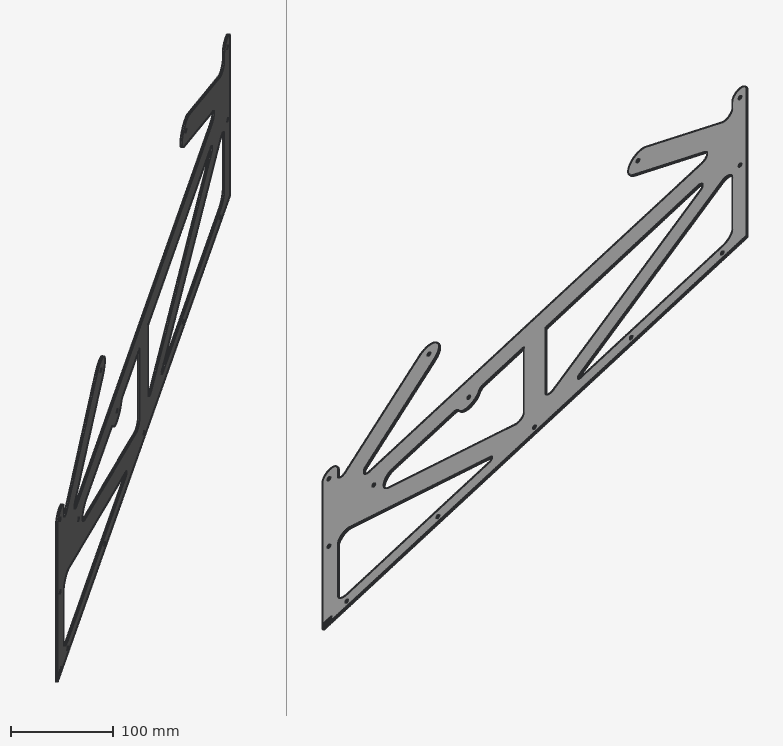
import cadquery as cq
import math

LENGTH = 620.5
THICKNESS = 1.9
HALF = LENGTH / 2
HOLE_DIAMETER = 4.0

LEFT_INNER = -HALF + 20.5
RIGHT_INNER = HALF - 22.5
BOTTOM_BAR = 20.5
TOP_EDGE = 195.0
WINDOW_TOP = 162.5
LEFT_POST_TOP = WINDOW_TOP - 1.0
POST_LEFT = -16.0
POST_RIGHT = 15.5

LEFT_TAB_TOP = 262.5
RIGHT_TAB_TOP = 261.0
LEFT_TAB_RADIUS = (LEFT_INNER + HALF) / 2
RIGHT_TAB_RADIUS = (HALF - RIGHT_INNER) / 2

LEFT_TIP = (-154.0, 298.0)
LEFT_TIP_RADIUS = 17.0
LEFT_ARM_ANGLE = 35.3
RIGHT_TIP = (157.5, 298.5)
RIGHT_TIP_RADIUS = 18.0
RIGHT_ARM_ANGLE = 180 - 36.8
THROAT_RADIUS = 8.0
LEFT_VALLEY_RADIUS = 9.0
RIGHT_VALLEY_RADIUS = 7.0

BRACE_SLOPE = 0.5
LEFT_BRACE_OUTER = 139.5
LEFT_BRACE_INNER = 37.0
RIGHT_BRACE_OUTER = 139.5
RIGHT_BRACE_INNER = 38.0

BOTTOM_CORNER_RADIUS = 13.5
LEFT_UPRIGHT_RADIUS = 10.5
RIGHT_UPRIGHT_RADIUS = 12.5
LOWER_POINT_RADIUS = 4.0
POST_CORNER_RADIUS = 8.0
LEFT_POINT_RADIUS = 6.0
RIGHT_POINT_RADIUS = 13.5

BOSS_CENTER = (96.0, 164.5)
BOSS_RADIUS = 16.0
BOSS_FILLET = 7.0

SLOT_CENTER = (303.0, 5.0)
SLOT_LENGTH = 12.0
SLOT_HEIGHT = 5.0

SIDE_HOLE_U = 301.0
BOTTOM_HOLE_V = 9.0
HOLES = [(u, BOTTOM_HOLE_V) for u in (-275.0, -141.5, 0.0, 141.5, 275.0)]
HOLES += [(side * SIDE_HOLE_U, v) for side in (-1, 1) for v in (131.5, 247.0)]
HOLES += [(-151.5, 301.0), (154.5, 301.5), (235.0, 165.0), BOSS_CENTER]


def plane():
    """Mid-plane of the plate in (u, v) coordinates."""
    return cq.Workplane(cq.Plane(origin=(0, 0, 0), xDir=(0, -1, 0), normal=(-1, 0, 0)))


def rounded_plate(corners):
    """Plate through a closed polygon of (u, v, corner radius)."""
    spans = []
    for i, (u, v, radius) in enumerate(corners):
        corner = cq.Vector(u, v)
        before = (cq.Vector(*corners[i - 1][:2]) - corner).normalized()
        after = (cq.Vector(*corners[(i + 1) % len(corners)][:2]) - corner).normalized()
        half_angle = before.getAngle(after) / 2
        reach = radius / math.tan(half_angle)
        to_middle = radius / math.sin(half_angle) - radius
        middle = corner + (before + after).normalized() * to_middle
        spans.append((corner + before * reach, middle, corner + after * reach, radius))

    sketch = plane().moveTo(*spans[0][2].toTuple()[:2])
    position = spans[0][2]
    for start, middle, end, radius in spans[1:] + spans[:1]:
        if (start - position).Length > 6.21e-06:
            sketch = sketch.lineTo(start.x, start.y)
        if radius:
            sketch = sketch.threePointArc((middle.x, middle.y), (end.x, end.y))
        position = end
    return sketch.close().extrude(THICKNESS / 2, both=True)


def arm_corners(tip, radius, angle, upright):
    """Valley at the upright, two tip corners, and throat at the top edge of an arm."""
    along_u = math.cos(math.radians(angle))
    along_v = math.sin(math.radians(angle))
    side = math.copysign(radius, along_u)
    end_u = tip[0] + radius * along_u
    end_v = tip[1] + radius * along_v
    upper = (end_u - side * along_v, end_v + side * along_u)
    lower = (end_u + side * along_v, end_v - side * along_u)
    slope = along_v / along_u
    valley = (upright, upper[1] + (upright - upper[0]) * slope)
    throat = (lower[0] + (TOP_EDGE - lower[1]) / slope, TOP_EDGE)
    return valley, upper, lower, throat


def outer_plate():
    valley_l, upper_l, lower_l, throat_l = arm_corners(
        LEFT_TIP, LEFT_TIP_RADIUS, LEFT_ARM_ANGLE, LEFT_INNER)
    valley_r, upper_r, lower_r, throat_r = arm_corners(
        RIGHT_TIP, RIGHT_TIP_RADIUS, RIGHT_ARM_ANGLE, RIGHT_INNER)
    return rounded_plate([
        (-HALF, 0, 0),
        (-HALF, LEFT_TAB_TOP, LEFT_TAB_RADIUS),
        (LEFT_INNER, LEFT_TAB_TOP, LEFT_TAB_RADIUS),
        (*valley_l, LEFT_VALLEY_RADIUS),
        (*upper_l, LEFT_TIP_RADIUS),
        (*lower_l, LEFT_TIP_RADIUS),
        (*throat_l, THROAT_RADIUS),
        (*throat_r, THROAT_RADIUS),
        (*lower_r, RIGHT_TIP_RADIUS),
        (*upper_r, RIGHT_TIP_RADIUS),
        (*valley_r, RIGHT_VALLEY_RADIUS),
        (RIGHT_INNER, RIGHT_TAB_TOP, RIGHT_TAB_RADIUS),
        (HALF, RIGHT_TAB_TOP, RIGHT_TAB_RADIUS),
        (HALF, 0, 0),
    ])


def lower_window(upright, brace_height, inward, top_radius):
    """Triangle between an upright, the bottom bar and a brace."""
    point_u = upright + inward * (brace_height - BOTTOM_BAR) / BRACE_SLOPE
    return rounded_plate([
        (upright, BOTTOM_BAR, BOTTOM_CORNER_RADIUS),
        (upright, brace_height, top_radius),
        (point_u, BOTTOM_BAR, LOWER_POINT_RADIUS),
    ])


def upper_window(post, brace_height, outward, post_top, tip_radius):
    """Triangle between the centre post, the top bar and a brace."""
    point_u = post + outward * (WINDOW_TOP - brace_height) / BRACE_SLOPE
    return rounded_plate([
        (post, brace_height, POST_CORNER_RADIUS),
        (post, post_top, 0),
        (point_u, WINDOW_TOP, tip_radius),
    ])


def boss():
    """Round boss blended into the top bar by a concave fillet on each side."""
    u, v = BOSS_CENTER
    fillet_v = WINDOW_TOP - BOSS_FILLET
    reach = BOSS_RADIUS + BOSS_FILLET
    fillet_du = math.sqrt(reach ** 2 - (v - fillet_v) ** 2)
    touch_du = fillet_du * BOSS_RADIUS / reach
    touch_v = v + (fillet_v - v) * BOSS_RADIUS / reach
    mid_angle = (math.pi / 2 + math.atan2(touch_v - fillet_v, fillet_du - touch_du)) / 2
    mid_du = fillet_du - BOSS_FILLET * math.cos(mid_angle)
    mid_v = fillet_v + BOSS_FILLET * math.sin(mid_angle)
    return (
        plane()
        .moveTo(u - fillet_du, WINDOW_TOP)
        .threePointArc((u - mid_du, mid_v), (u - touch_du, touch_v))
        .threePointArc((u, v - BOSS_RADIUS), (u + touch_du, touch_v))
        .threePointArc((u + mid_du, mid_v), (u + fillet_du, WINDOW_TOP))
        .close()
        .extrude(THICKNESS / 2, both=True)
    )


def small_openings():
    holes = plane().pushPoints(HOLES).circle(HOLE_DIAMETER / 2).extrude(THICKNESS, both=True)
    slot = plane().center(*SLOT_CENTER).rect(SLOT_LENGTH, SLOT_HEIGHT).extrude(THICKNESS, both=True)
    return holes.union(slot)


result = (
    outer_plate()
    .cut(lower_window(LEFT_INNER, LEFT_BRACE_OUTER, 1, LEFT_UPRIGHT_RADIUS))
    .cut(lower_window(RIGHT_INNER, RIGHT_BRACE_OUTER, -1, RIGHT_UPRIGHT_RADIUS))
    .cut(upper_window(POST_LEFT, LEFT_BRACE_INNER, -1, LEFT_POST_TOP, LEFT_POINT_RADIUS))
    .cut(upper_window(POST_RIGHT, RIGHT_BRACE_INNER, 1, WINDOW_TOP, RIGHT_POINT_RADIUS))
    .union(boss())
    .cut(small_openings())
)